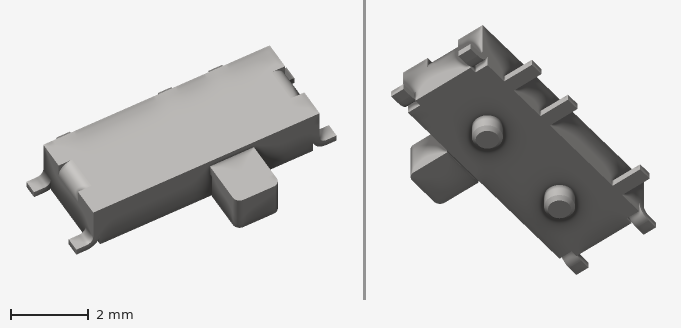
import cadquery as cq


pitch = 1.5

overall_length = 7.7
body_length = 6.7
body_width = 2.6
body_height = 1.4

corner_block_width = 0.8
end_edge_radius = 0.4
end_gap_width = body_width - 2 * corner_block_width

metal_thickness = 0.2
strip_width = 0.4

terminal_length = 0.9
terminal_positions = (-1.5 * pitch, 0.5 * pitch, 1.5 * pitch)

leg_top = 0.5
leg_inner_radius = 0.2
leg_outer_radius = leg_inner_radius + metal_thickness

knob_reach = 1.39
knob_width = 1.3
knob_position = 0.5 * pitch
knob_bottom = 0.1
knob_top = 1.2
knob_gap = 0.1
knob_corner_radius = 0.2
stem_bottom = 0.9

pin_diameter = 0.8
pin_length = 0.5
pin_chamfer = 0.1
pin_positions = (-pitch, pitch)

half_length = body_length / 2
half_width = body_width / 2
leg_tip = overall_length / 2


def block(x_start, x_end, y_start, y_end, z_start, z_end):
    """Box given by its limits along each axis."""
    size = (x_end - x_start, y_end - y_start, z_end - z_start)
    return cq.Workplane("XY").box(*size, centered=False).translate((x_start, y_start, z_start))


def at_four_corners(corner):
    """Mirror a (+X, +Y) corner feature onto all four corners."""
    pair = corner.union(corner.mirror("YZ"))
    return pair.union(pair.mirror("XZ"))


def end_edge_cutter():
    """Material outside the rounded top edge at the +Y end."""
    arc_centre_y = half_length - end_edge_radius
    arc_centre_z = body_height - end_edge_radius
    return (
        cq.Workplane("YZ", origin=(-end_gap_width / 2, 0, 0))
        .moveTo(arc_centre_y, body_height)
        .radiusArc((half_length, arc_centre_z), end_edge_radius)
        .lineTo(half_length, body_height)
        .close()
        .extrude(end_gap_width)
    )


def make_body():
    """Housing with rounded end edges and a notch for each leg."""
    body = block(-half_width, half_width, -half_length, half_length, 0, body_height)
    edge = end_edge_cutter()
    notch = block(
        half_width - strip_width, half_width,
        half_length - metal_thickness, half_length,
        0, leg_top,
    )
    return body.cut(edge).cut(edge.mirror("XZ")).cut(at_four_corners(notch))


def make_leg():
    """Leg at the (+X, +Y) corner: drops from the notch and bends outward."""
    bend_y = half_length + leg_inner_radius
    return (
        cq.Workplane("YZ", origin=(half_width - strip_width, 0, 0))
        .moveTo(half_length, leg_top)
        .lineTo(half_length, leg_outer_radius)
        .radiusArc((bend_y, metal_thickness), -leg_inner_radius)
        .lineTo(leg_tip, metal_thickness)
        .lineTo(leg_tip, 0)
        .lineTo(bend_y, 0)
        .radiusArc((half_length - metal_thickness, leg_outer_radius), leg_outer_radius)
        .lineTo(half_length - metal_thickness, leg_top)
        .close()
        .extrude(strip_width)
    )


def make_terminal(y_centre):
    """Flat terminal level with the bottom of the body."""
    return block(
        -half_width - terminal_length, -half_width,
        y_centre - strip_width / 2, y_centre + strip_width / 2,
        0, metal_thickness,
    )


def make_knob():
    """Knob with rounded outer corners, standing off the body on its stem."""
    y_start = knob_position - knob_width / 2
    y_end = knob_position + knob_width / 2
    grip_start = half_width + knob_gap
    grip = block(grip_start, half_width + knob_reach, y_start, y_end, knob_bottom, knob_top)
    grip = grip.edges("|Z and >X").fillet(knob_corner_radius)
    stem = block(half_width, grip_start, y_start, y_end, stem_bottom, knob_top)
    return grip.union(stem)


def make_pin(y_centre):
    """Locating pin with a chamfered tip."""
    return (
        cq.Workplane("XY")
        .center(0, y_centre)
        .circle(pin_diameter / 2)
        .extrude(-pin_length)
        .faces("<Z")
        .chamfer(pin_chamfer)
    )


result = make_body().union(at_four_corners(make_leg())).union(make_knob())
for terminal_y in terminal_positions:
    result = result.union(make_terminal(terminal_y))
for pin_y in pin_positions:
    result = result.union(make_pin(pin_y))